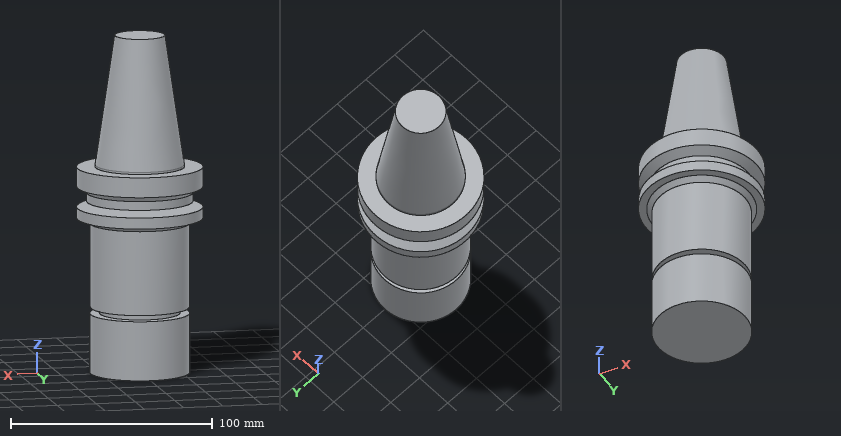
import cadquery as cq

TOTAL_HEIGHT = 170.4

NUT_DIAMETER = 50.0
NUT_HEIGHT = 30.0

NECK_DIAMETER = 40.0
NECK_HEIGHT = 3.0
BODY_DIAMETER = 49.6

FLANGE_DIAMETER = 63.0
FLANGE_BOTTOM = 78.0
FLANGE_TOP = 104.0
SHOULDER_CHAMFER = 2.5
GROOVE_DIAMETER = 53.0
GROOVE_CENTER = 88.8
GROOVE_FLOOR_WIDTH = 4.5
GROOVE_MOUTH_WIDTH = 10.2

TAPER_LARGE_DIAMETER = 44.5
TAPER_SMALL_DIAMETER = 25.2
TAPER_LENGTH = 65.5


def make_nut():
    """Plain cylindrical clamping nut standing on the XY plane."""
    return cq.Workplane("XY").circle(NUT_DIAMETER / 2).extrude(NUT_HEIGHT)


def make_holder():
    """Neck, body, grooved flange and taper, revolved about Z as one solid."""
    neck_radius = NECK_DIAMETER / 2
    body_radius = BODY_DIAMETER / 2
    flange_radius = FLANGE_DIAMETER / 2
    groove_radius = GROOVE_DIAMETER / 2
    taper_radius = TAPER_LARGE_DIAMETER / 2
    body_bottom = NUT_HEIGHT + NECK_HEIGHT
    taper_bottom = TOTAL_HEIGHT - TAPER_LENGTH

    profile = [
        (0, NUT_HEIGHT),
        (neck_radius, NUT_HEIGHT),
        (neck_radius, body_bottom),
        (body_radius, body_bottom),
        (body_radius, FLANGE_BOTTOM - SHOULDER_CHAMFER),
        (body_radius + SHOULDER_CHAMFER, FLANGE_BOTTOM),
        (flange_radius, FLANGE_BOTTOM),
        (flange_radius, GROOVE_CENTER - GROOVE_MOUTH_WIDTH / 2),
        (groove_radius, GROOVE_CENTER - GROOVE_FLOOR_WIDTH / 2),
        (groove_radius, GROOVE_CENTER + GROOVE_FLOOR_WIDTH / 2),
        (flange_radius, GROOVE_CENTER + GROOVE_MOUTH_WIDTH / 2),
        (flange_radius, FLANGE_TOP),
        (taper_radius, FLANGE_TOP),
        (taper_radius, taper_bottom),
        (TAPER_SMALL_DIAMETER / 2, TOTAL_HEIGHT),
        (0, TOTAL_HEIGHT),
    ]
    return cq.Workplane("XZ").polyline(profile).close().revolve(360, (0, 0), (0, 1))


nut = make_nut()
holder = make_holder()

result = cq.Compound.makeCompound([nut.val(), holder.val()])